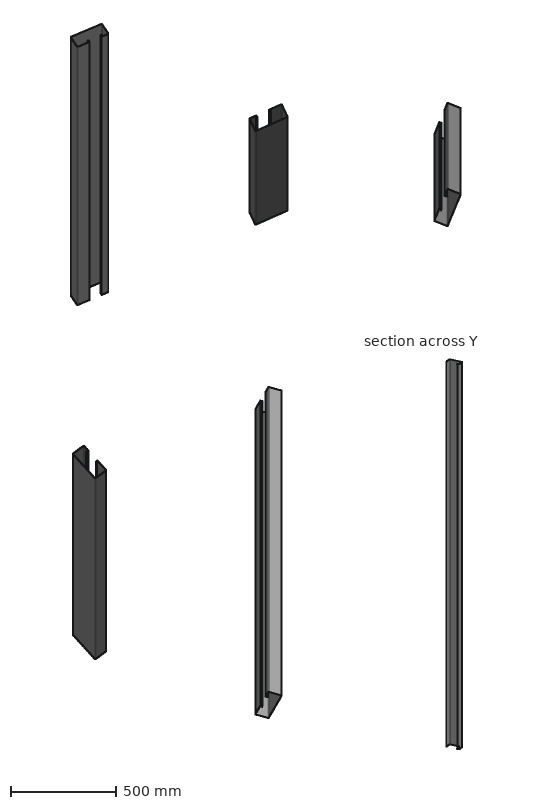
import cadquery as cq

depth = 70.0
width = 170.0
length = 2000.0

wall = 2.0
corner_radius = 5.0

upper_flange = 38.0
opening_width = 65.0

lip_depth = 12.0
hook_length = 8.0

half_depth = depth / 2
opening_top = width / 2 - upper_flange
opening_bottom = opening_top - opening_width


def bar(x_min, x_max, y_min, y_max):
    """Full-length bar with a rectangular section."""
    return (
        cq.Workplane("XY", origin=(0, 0, -length / 2))
        .moveTo((x_min + x_max) / 2, (y_min + y_max) / 2)
        .rect(x_max - x_min, y_max - y_min)
        .extrude(length)
    )


def channel():
    """Rounded thin-walled tube with the cover opening cut through its +X wall."""
    outer = bar(-half_depth, half_depth, -width / 2, width / 2)
    outer = outer.edges("|Z").fillet(corner_radius)
    inner_x = half_depth - wall
    inner_y = width / 2 - wall
    cavity = bar(-inner_x, inner_x, -inner_y, inner_y)
    cavity = cavity.edges("|Z").fillet(corner_radius - wall)
    opening = bar(0, half_depth, opening_bottom, opening_top)
    return outer.cut(cavity).cut(opening)


def lip(edge_y, away):
    """Inward lip and hook at one opening edge; away is the Y sign leaving the opening."""
    inner_x = half_depth - lip_depth
    lip_y = sorted((edge_y, edge_y + away * wall))
    hook_y = sorted((edge_y, edge_y + away * hook_length))
    return_wall = bar(inner_x, half_depth, *lip_y)
    hook = bar(inner_x, inner_x + wall, *hook_y)
    return return_wall.union(hook)


result = channel().union(lip(opening_top, 1)).union(lip(opening_bottom, -1))